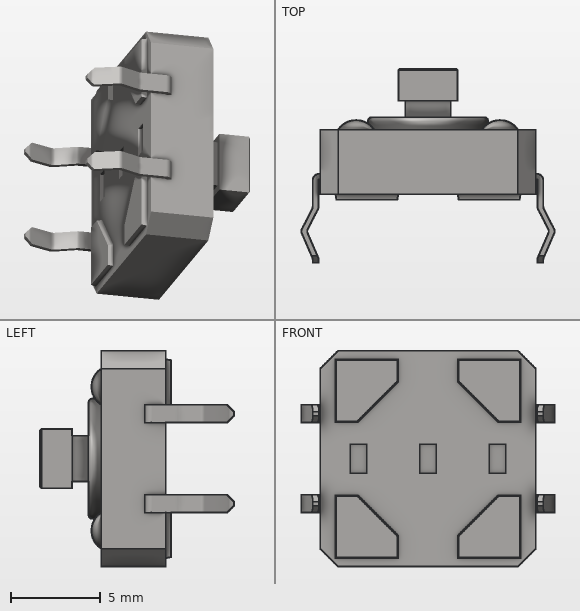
import cadquery as cq
import math


body_side = 12.0
body_depth = 3.6
body_corner_chamfer = 1.0

pad_side = 3.5
pad_height = 0.3
pad_corner_cut = 2.25
pad_draft_angle = 10.0
pad_centre_x = 3.4
pad_centre_z = 3.78

pocket_width = 0.93
pocket_length = 1.62
pocket_depth = 0.2
pocket_pitch = 3.87

collar_radius = 3.35
collar_height = 0.7
collar_edge_radius = 0.24
stem_side = 2.55
head_side = 3.3
head_bottom = 5.2
head_top = 7.0
head_chamfer = 0.1

dome_base_radius = 1.0
dome_height = 0.54
dome_offset = 4.0

leg_thickness = 0.34
leg_width = 1.0
leg_outer_x = 6.42
leg_knee_x = 7.075
leg_top_y = 1.16
leg_bend_y = -0.76
leg_knee_y = -2.04
leg_foot_y = -3.55
leg_tip_y = -3.8
leg_shoulder_radius = 0.4
leg_bend_radius = 0.3
leg_knee_radius = 0.25
leg_foot_radius = 0.23
leg_offset_z = 2.5
leg_tip_width = 0.22

half_body = body_side / 2
signs = (-1, 1)


def plane_at(y):
    """XZ plane at height y whose normal points along +Y; local y runs along -Z."""
    return cq.Workplane(cq.Plane(origin=(0, y, 0), xDir=(1, 0, 0), normal=(0, 1, 0)))


def square_post(side, bottom, top):
    return plane_at(bottom).rect(side, side).extrude(top - bottom)


def make_housing():
    block = square_post(body_side, 0, body_depth)
    return block.edges("|Y").chamfer(body_corner_chamfer)


def make_pad(sign_x, sign_z):
    """Square pad with its corner nearest the part centre cut off, tapering downwards."""
    half = pad_side / 2
    outline = [
        (half, half),
        (-half, half),
        (-half, pad_corner_cut - half),
        (pad_corner_cut - half, -half),
        (half, -half),
    ]
    points = [(sign_x * (pad_centre_x + x), sign_z * (pad_centre_z + z)) for x, z in outline]
    return cq.Workplane("XZ").polyline(points).close().extrude(pad_height, taper=pad_draft_angle)


def make_pockets():
    centres = [(i * pocket_pitch, 0) for i in (-1, 0, 1)]
    return plane_at(0).pushPoints(centres).rect(pocket_width, pocket_length).extrude(pocket_depth)


def make_collar():
    disc = plane_at(body_depth).circle(collar_radius).extrude(collar_height)
    return disc.faces(">Y").edges().fillet(collar_edge_radius)


def make_plunger():
    stem = square_post(stem_side, body_depth, head_bottom)
    head = square_post(head_side, head_bottom, head_top)
    return stem.union(head.faces(">Y").edges().chamfer(head_chamfer))


def make_dome(sign_x, sign_z):
    """Spherical cap standing on the top face."""
    sphere_radius = (dome_base_radius**2 + dome_height**2) / (2 * dome_height)
    sphere_y = body_depth + dome_height - sphere_radius
    half_angle = math.asin(dome_base_radius / sphere_radius) / 2
    middle = (sphere_radius * math.sin(half_angle), sphere_y + sphere_radius * math.cos(half_angle))
    profile = (
        cq.Workplane("XY")
        .moveTo(0, body_depth)
        .lineTo(dome_base_radius, body_depth)
        .threePointArc(middle, (0, body_depth + dome_height))
        .close()
    )
    dome = profile.revolve(360, (0, 0), (0, 1))
    return dome.translate((sign_x * dome_offset, 0, sign_z * dome_offset))


def make_leg():
    """Leg on the +X side, centred on z = 0, with a knee and a tip narrowed by 45 degree bevels."""
    inner_x = leg_outer_x - leg_thickness
    outline = [
        (half_body, leg_top_y),
        (leg_outer_x, leg_top_y),
        (leg_outer_x, leg_bend_y),
        (leg_knee_x, leg_knee_y),
        (leg_outer_x, leg_foot_y),
        (leg_outer_x, leg_tip_y),
        (inner_x, leg_tip_y),
        (inner_x, leg_foot_y),
        (leg_knee_x - leg_thickness, leg_knee_y),
        (inner_x, leg_bend_y),
        (inner_x, leg_top_y - leg_thickness),
        (half_body, leg_top_y - leg_thickness),
    ]
    strip = cq.Workplane("XY").polyline(outline).close().extrude(leg_width / 2, both=True)

    def edges_near(x, y):
        reach = leg_thickness / 4
        corner = (x - reach, y - reach, -leg_width)
        opposite = (x + reach, y + reach, leg_width)
        return cq.selectors.BoxSelector(corner, opposite)

    rounds = [
        (leg_outer_x, leg_top_y, leg_shoulder_radius),
        (leg_outer_x, leg_bend_y, leg_bend_radius),
        (inner_x, leg_bend_y, leg_bend_radius),
        (leg_knee_x, leg_knee_y, leg_knee_radius),
        (leg_knee_x - leg_thickness, leg_knee_y, leg_knee_radius),
        (leg_outer_x, leg_foot_y, leg_foot_radius),
        (inner_x, leg_foot_y, leg_foot_radius),
    ]
    for x, y, radius in rounds:
        strip = strip.edges("|Z").edges(edges_near(x, y)).fillet(radius)

    half_width = leg_width / 2
    half_tip = leg_tip_width / 2
    shoulder_y = leg_tip_y + half_width - half_tip
    side_outline = [
        (leg_top_y, -half_width),
        (shoulder_y, -half_width),
        (leg_tip_y, -half_tip),
        (leg_tip_y, half_tip),
        (shoulder_y, half_width),
        (leg_top_y, half_width),
    ]
    pointed_envelope = cq.Workplane("YZ").polyline(side_outline).close().extrude(body_side)
    return strip.intersect(pointed_envelope)


housing = make_housing().cut(make_pockets())
result = housing.union(make_collar()).union(make_plunger())

right_leg = make_leg()
left_leg = right_leg.mirror("YZ")
for sign_z in signs:
    for sign_x in signs:
        result = result.union(make_pad(sign_x, sign_z))
        result = result.union(make_dome(sign_x, sign_z))
    for leg in (left_leg, right_leg):
        result = result.union(leg.translate((0, 0, sign_z * leg_offset_z)))